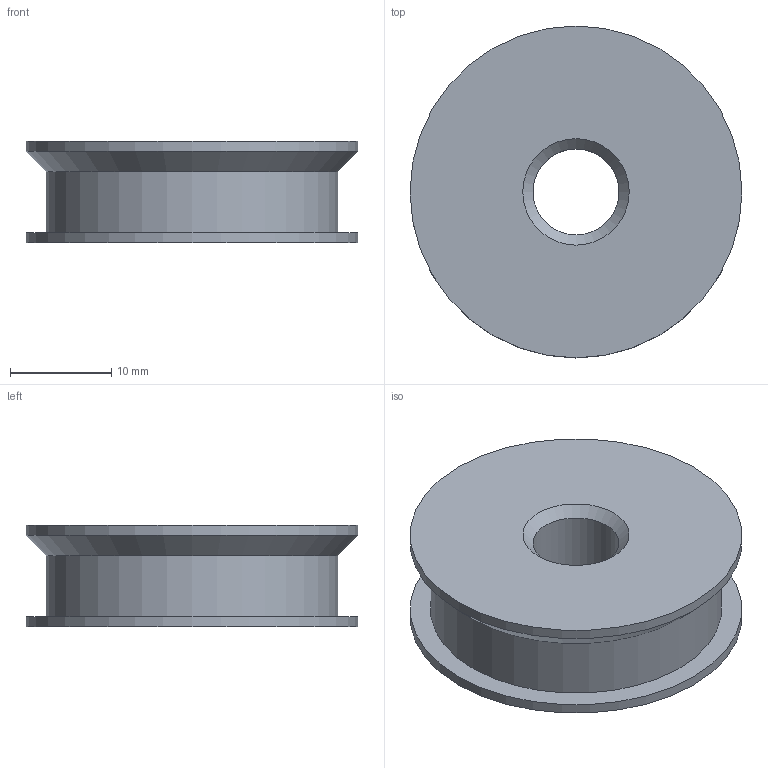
import cadquery as cq

flange_diameter = 32.75
groove_depth = 2.0
flange_thickness = 1.0
total_height = 10.0
bore_diameter = 8.5
bore_chamfer = 1.0

flange_radius = flange_diameter / 2
hub_radius = flange_radius - groove_depth
bore_radius = bore_diameter / 2
upper_flange_base = total_height - flange_thickness
cone_base = upper_flange_base - groove_depth


def spool_body():
    """Hub between a thin lower flange and a flared upper flange, with a plain bore."""
    half_section = [
        (bore_radius, 0),
        (flange_radius, 0),
        (flange_radius, flange_thickness),
        (hub_radius, flange_thickness),
        (hub_radius, cone_base),
        (flange_radius, upper_flange_base),
        (flange_radius, total_height),
        (bore_radius, total_height),
    ]
    return cq.Workplane("XZ").polyline(half_section).close().revolve(360, (0, 0), (0, 1))


def chamfer_bore(body):
    """Break the upper rim of the bore with an equal-leg chamfer."""
    rim = cq.selectors.RadiusNthSelector(0)
    return body.faces(">Z").edges(rim).chamfer(bore_chamfer)


result = chamfer_bore(spool_body())